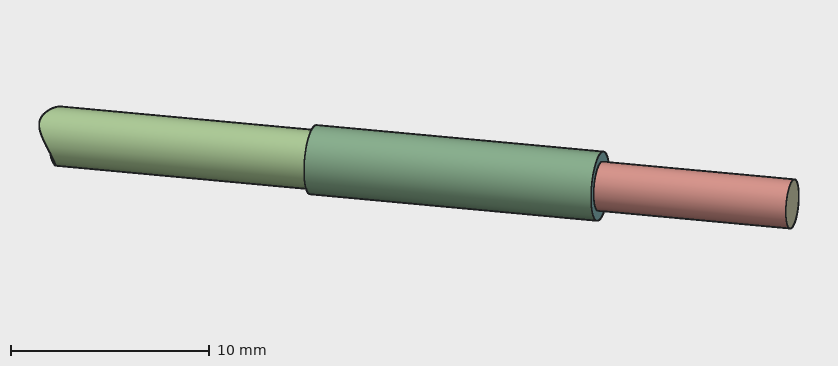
import cadquery as cq
import math

total_length = 39.0
tip_length = 14.0
tip_diameter = 3.0
body_diameter = 3.5
tail_length = 10.03
tail_diameter = 2.5
body_length = total_length - tip_length - tail_length

groove_radius = 1.8
groove_direction = (0, 1, 1)
groove_length = 2 * body_diameter


def make_shaft():
    """Three coaxial cylinders stacked along X."""
    return (
        cq.Workplane("YZ")
        .circle(tip_diameter / 2)
        .extrude(tip_length)
        .faces(">X")
        .workplane()
        .circle(body_diameter / 2)
        .extrude(body_length)
        .faces(">X")
        .workplane()
        .circle(tail_diameter / 2)
        .extrude(tail_length)
    )


def make_groove_cutter():
    """Cylinder whose surface meets both outermost points of the tip at X = 0."""
    axis_offset = math.sqrt(groove_radius**2 - (tip_diameter / 2) ** 2)
    axis_plane = cq.Plane(origin=(-axis_offset, 0, 0), xDir=(1, 0, 0), normal=groove_direction)
    return cq.Workplane(axis_plane).circle(groove_radius).extrude(groove_length / 2, both=True)


result = make_shaft().cut(make_groove_cutter())